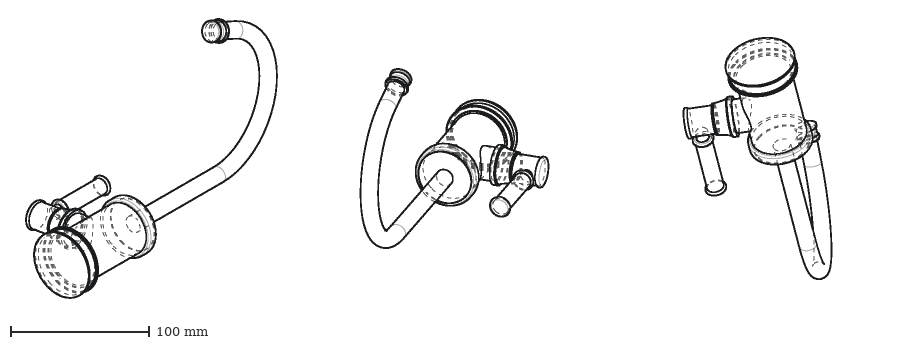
import cadquery as cq
import math

RING_CHAMFER = 0.5

BODY_RADIUS = 20.5
BODY_LENGTH = 81.7
FOOT_FLANGE_RADIUS = 25.5
FOOT_FLANGE_EDGE = 1.5
FOOT_FLANGE_THICKNESS = 3.0
FOOT_RADIUS = 24.0
FOOT_RING_START = 9.7
FOOT_RING_END = 11.5
FOOT_COLLAR_RADIUS = 22.0
FOOT_COLLAR_END = 12.6
HEAD_RING_RADIUS = 23.3
HEAD_RING_START = 72.2
HEAD_RING_END = 80.7
HEAD_RING_ROUND = 1.5

OVERALL_LENGTH = 243.1
SPOUT_DIAMETER = 13.0
SPOUT_RADIUS = SPOUT_DIAMETER / 2
BEND_START = 179.7
BEND_RADIUS = OVERALL_LENGTH - BEND_START - SPOUT_RADIUS
BEND_ANGLE = 160
SPOUT_END_LENGTH = 18.7

NOZZLE_LENGTH = 11.7
NOZZLE_COLLAR_RADIUS = 8.8
NOZZLE_COLLAR_THICKNESS = 3.2
NOZZLE_SHOULDER_RADIUS = 8.3
NOZZLE_SHOULDER_END = 5.8
NOZZLE_WAIST_RADIUS = 7.3
NOZZLE_RIM_RADIUS = 8.0
NOZZLE_RIM_THICKNESS = 3.0
NOZZLE_RIM_ROUND = 0.7

VALVE_Y = 48.5
VALVE_REACH = 64.0
VALVE_RADIUS = 10.5
CAP_RADIUS = 11.5
CAP_THICKNESS = 3.0
VALVE_RING_RADIUS = 11.7
VALVE_RING_OUTER = 43.3
VALVE_RING_INNER = 41.8
VALVE_FLANGE_RADIUS = 14.8
VALVE_LIP_RADIUS = 14.0
VALVE_LIP_THICKNESS = 0.7
VALVE_FLARE_RADIUS = 13.5
VALVE_FLARE_SAG = 0.2
VALVE_FLANGE_OUTER = 31.0
VALVE_FLANGE_INNER = 27.7
VALVE_NECK_RADIUS = 12.5

HANDLE_X = -54.7
HANDLE_NECK_RADIUS = 4.5
HANDLE_RADIUS = 6.3
HANDLE_FLANGE_RADIUS = 7.8
HANDLE_FLANGE_THICKNESS = 3.0
HANDLE_START = 64.2
HANDLE_END = 114.8


def disc(radius, start, end):
    """Cylinder about Z from height start to height end."""
    return cq.Workplane("XY").workplane(offset=start).circle(radius).extrude(end - start)


def thin_ring(radius, start, end):
    """Narrow disc about Z with chamfered edges."""
    return disc(radius, start, end).edges().chamfer(RING_CHAMFER)


def round_ring(radius, start, end):
    """Disc about Z whose rim is a half circle."""
    rim_radius = (end - start) / 2
    return (
        cq.Workplane("XZ")
        .moveTo(0, start)
        .lineTo(radius - rim_radius, start)
        .threePointArc((radius, start + rim_radius), (radius - rim_radius, end))
        .lineTo(0, end)
        .close()
        .revolve(360, (0, 0, 0), (0, 1, 0))
    )


def make_body():
    """Column with its foot, foot rings and head ring."""
    flange = disc(FOOT_FLANGE_RADIUS, 0, FOOT_FLANGE_THICKNESS)
    flange = flange.faces(">Z").chamfer(FOOT_FLANGE_THICKNESS - FOOT_FLANGE_EDGE)
    head_ring = disc(HEAD_RING_RADIUS, HEAD_RING_START, HEAD_RING_END).edges().fillet(HEAD_RING_ROUND)
    return (
        disc(BODY_RADIUS, 0, BODY_LENGTH)
        .union(flange)
        .union(disc(FOOT_RADIUS, 0, FOOT_RING_END))
        .union(thin_ring(FOOT_FLANGE_RADIUS, FOOT_RING_START, FOOT_RING_END))
        .union(disc(FOOT_COLLAR_RADIUS, 0, FOOT_COLLAR_END))
        .union(head_ring)
        .rotate((0, 0, 0), (1, 0, 0), -90)
    )


def make_spout():
    """Pipe and nozzle, built from inside the body to the outlet."""
    turn = math.radians(BEND_ANGLE)
    bend_middle = (
        BEND_START + BEND_RADIUS * math.sin(turn / 2),
        BEND_RADIUS * (1 - math.cos(turn / 2)),
    )
    bend_end = (
        BEND_START + BEND_RADIUS * math.sin(turn),
        BEND_RADIUS * (1 - math.cos(turn)),
    )
    outlet = (
        bend_end[0] + SPOUT_END_LENGTH * math.cos(turn),
        bend_end[1] + SPOUT_END_LENGTH * math.sin(turn),
    )
    path = (
        cq.Workplane("YZ")
        .moveTo(BODY_LENGTH / 2, 0)
        .lineTo(BEND_START, 0)
        .threePointArc(bend_middle, bend_end)
        .lineTo(*outlet)
    )
    pipe = cq.Workplane("XZ", origin=(0, BODY_LENGTH / 2, 0)).circle(SPOUT_RADIUS).sweep(path)
    outlet_plane = cq.Plane(
        origin=(0, outlet[0], outlet[1]),
        xDir=(1, 0, 0),
        normal=(0, math.cos(turn), math.sin(turn)),
    )
    nozzle = make_nozzle().val().moved(cq.Location(outlet_plane))
    return pipe.union(cq.Workplane(nozzle))


def make_nozzle():
    """Nozzle standing on the XY plane, with its outlet face at the top."""
    collar = round_ring(NOZZLE_COLLAR_RADIUS, 0, NOZZLE_COLLAR_THICKNESS)
    shoulder = cq.Workplane(
        cq.Solid.makeCone(NOZZLE_SHOULDER_RADIUS, NOZZLE_WAIST_RADIUS, NOZZLE_SHOULDER_END)
    )
    rim_start = NOZZLE_LENGTH - NOZZLE_RIM_THICKNESS
    waist = disc(NOZZLE_WAIST_RADIUS, 0, rim_start)
    rim = disc(NOZZLE_RIM_RADIUS, rim_start, NOZZLE_LENGTH).edges().fillet(NOZZLE_RIM_ROUND)
    return collar.union(shoulder).union(waist).union(rim)


def make_valve():
    """Valve with its axis along X, from the body axis out to the cap."""
    flare_start = VALVE_FLANGE_OUTER + VALVE_LIP_THICKNESS
    flare_middle = (
        (flare_start + VALVE_RING_INNER) / 2,
        (VALVE_FLARE_RADIUS + VALVE_RING_RADIUS) / 2 - VALVE_FLARE_SAG,
    )
    flare = (
        cq.Workplane("XY")
        .moveTo(flare_start, 0)
        .lineTo(flare_start, VALVE_FLARE_RADIUS)
        .threePointArc(flare_middle, (VALVE_RING_INNER, VALVE_RING_RADIUS))
        .lineTo(VALVE_RING_INNER, 0)
        .close()
        .revolve(360, (0, 0, 0), (1, 0, 0))
        .rotate((0, 0, 0), (0, 1, 0), -90)
    )
    cap = round_ring(CAP_RADIUS, VALVE_REACH - CAP_THICKNESS, VALVE_REACH)
    return (
        disc(VALVE_RADIUS, 0, VALVE_REACH - CAP_THICKNESS / 2)
        .union(disc(VALVE_NECK_RADIUS, 0, VALVE_FLANGE_OUTER))
        .union(disc(VALVE_FLANGE_RADIUS, VALVE_FLANGE_INNER, VALVE_FLANGE_OUTER))
        .union(disc(VALVE_LIP_RADIUS, VALVE_FLANGE_INNER, flare_start))
        .union(flare)
        .union(thin_ring(VALVE_RING_RADIUS, VALVE_RING_INNER, VALVE_RING_OUTER))
        .union(cap)
        .rotate((0, 0, 0), (0, 1, 0), -90)
        .translate((0, VALVE_Y, 0))
    )


def make_handle():
    """Grip with a round flange at each end, on a thin neck that starts at the valve axis."""
    rim_radius = HANDLE_FLANGE_THICKNESS / 2
    handle = disc(HANDLE_NECK_RADIUS, VALVE_Y, HANDLE_START + rim_radius)
    handle = handle.union(disc(HANDLE_RADIUS, HANDLE_START + rim_radius, HANDLE_END - rim_radius))
    for start in (HANDLE_START, HANDLE_END - HANDLE_FLANGE_THICKNESS):
        handle = handle.union(round_ring(HANDLE_FLANGE_RADIUS, start, start + HANDLE_FLANGE_THICKNESS))
    return handle.rotate((0, 0, 0), (1, 0, 0), -90).translate((HANDLE_X, 0, 0))


result = make_body().union(make_spout()).union(make_valve()).union(make_handle())